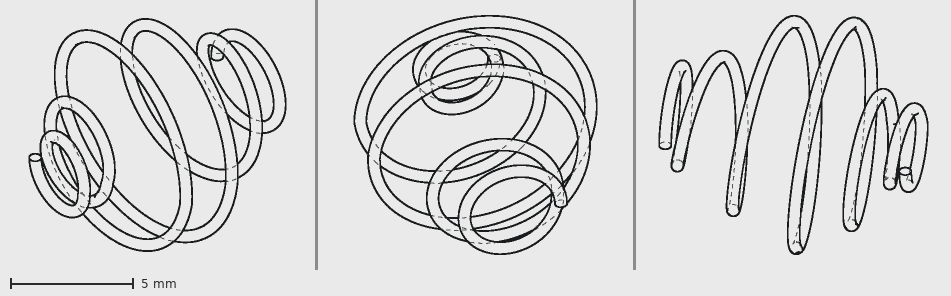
import cadquery as cq
import math

length = 10.41
coil_diameter = 9.89
wire_radius = 0.25
front_radius = 1.57
middle_radius = coil_diameter / 2 - wire_radius
back_radius = 2.02
front_height = wire_radius
back_height = length - wire_radius

front_pitch = 1.17
flare_pitch = 1.27
middle_pitch = 1.92
taper_pitch = 2.89
closing_pitch = 2.5
closing_turns = 0.5
samples_per_turn = 24

open_sections = [
    (1.0, front_pitch, front_radius, flare_pitch, front_radius),
    (1.0, flare_pitch, front_radius, middle_pitch, middle_radius),
    (1.0, middle_pitch, middle_radius, taper_pitch, middle_radius),
    (1.5, taper_pitch, middle_radius, closing_pitch, back_radius),
]


def wire_section(radius, turn, height):
    """Round wire outline in the half plane through the Y axis; winding runs from +X toward +Z."""
    angle = 2 * math.pi * turn
    center = cq.Vector(radius * math.cos(angle), height, radius * math.sin(angle))
    winding_direction = cq.Vector(-math.sin(angle), 0, math.cos(angle))
    outward = cq.Vector(math.cos(angle), 0, math.sin(angle))
    plane = cq.Plane(origin=center, xDir=outward, normal=winding_direction)
    return cq.Workplane(plane).circle(wire_radius)


def flat_half_turn(radius, start_turn, height):
    """Level half ring that closes one end of the spring."""
    section = wire_section(radius, start_turn, height)
    return section.revolve(180, (-radius, 0), (-radius, -1)).val()


def helix_section(start_turn, start_height, turns, start_pitch, start_radius, end_pitch, end_radius):
    """Winding whose pitch varies evenly per turn and whose radius varies evenly with height."""
    rise = turns * (start_pitch + end_pitch) / 2
    intervals = round(turns * samples_per_turn)
    outlines = []
    for step in range(intervals + 1):
        share = step / intervals
        climb = turns * share * (start_pitch + (end_pitch - start_pitch) * share / 2)
        radius = start_radius + (end_radius - start_radius) * climb / rise
        section = wire_section(radius, start_turn + turns * share, start_height + climb)
        outlines.append(section.val())
    return cq.Solid.makeLoft(outlines)


pieces = [flat_half_turn(front_radius, -0.5, front_height)]
turn = 0.0
height = front_height
for section in open_sections:
    pieces.append(helix_section(turn, height, *section))
    turns, start_pitch, _, end_pitch, _ = section
    turn += turns
    height += turns * (start_pitch + end_pitch) / 2

final_pitch = 2 * (back_height - height) / closing_turns - closing_pitch
pieces.append(helix_section(turn, height, closing_turns, closing_pitch, back_radius, final_pitch, back_radius))
turn += closing_turns
pieces.append(flat_half_turn(back_radius, turn, back_height))

result = cq.Workplane(obj=pieces[0].fuse(*pieces[1:]).Solids()[0])